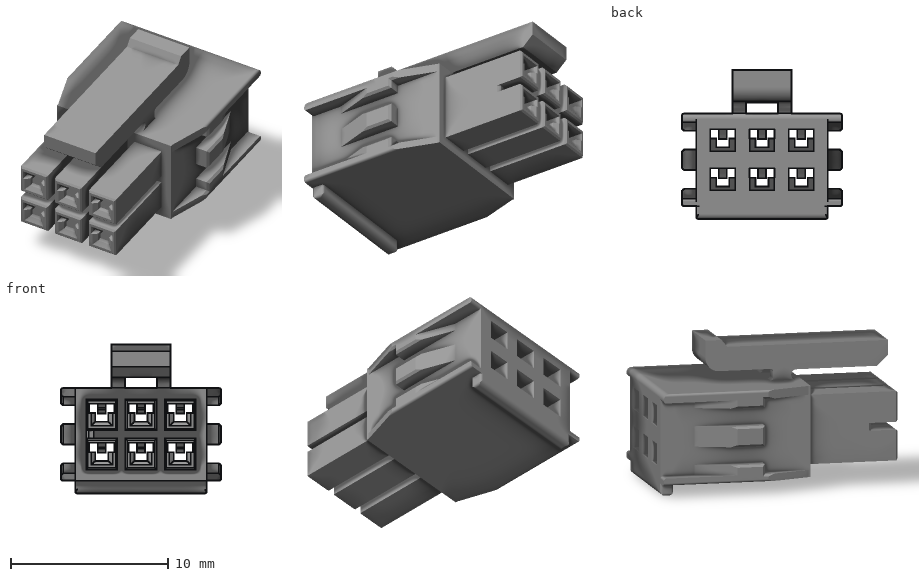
import cadquery as cq


length = 15.7
body_height = 5.9
body_front = 5.87
flange_width = 10.2
core_width = 8.38

top_flange = 0.57
bottom_flange = 0.47
taper_front = 6.01
taper_rear = 8.85
edge_radius = 0.15
rear_radius = 0.36
edge_chamfer = 0.14

pitch = 2.5
sleeve_size = 2.0
tip_chamfer = 0.11
room_width = 1.57
room_height = 1.4
slot_height = 0.58
mouth_width = 1.37
throat_width = 0.8
throat_rise = 0.27
mouth_depth = 0.24
throat_depth = 0.52

tab_width = 0.52
tab_drop = 0.63
tab_front = 7.06
tab_length = 1.57
tab_step = 0.05
tab_step_top = 0.27
tab_step_bottom = 0.38

web_thickness = 0.49
web_front = 1.71
web_chamfer = 0.17

barb_height = 1.32
barb_front = 9.06
barb_crest_end = 10.86
barb_rear = 13.49

rib_depth = 0.82
rib_length = 0.85
rib_radius = 0.31
rib_end_radius = 0.15
rib_overlap = 0.24

lever_width = 3.77
lever_front = 0.25
lever_rear = 12.2
lever_top = 8.23
lever_bottom_front = 6.58
lever_bottom_rear = 6.67
lever_nose_z = 7.27
lever_nose_y = 0.99
hook_top = 8.68
hook_flat_front = 11.15
hook_ramp_front = 10.77
hook_radius = 0.88
neck_front = 6.6
neck_rear = 7.77
neck_fillet = 0.19
neck_window = 2.01

middle_z = body_height / 2
core_side = core_width / 2
flange_side = flange_width / 2
row_heights = (middle_z - pitch / 2, middle_z + pitch / 2)
column_places = (-pitch, 0, pitch)


def block(x0, x1, y0, y1, z0, z1):
    """Box given by its limits along each axis."""
    return cq.Workplane("XY").box(x1 - x0, y1 - y0, z1 - z0, centered=False).translate((x0, y0, z0))


def both_sides(solid):
    """The solid together with its mirror image across the YZ plane."""
    return solid.union(solid.mirror("YZ"))


def make_body():
    """Block with rounded flanges, tapered towards the front, and recessed side walls."""
    limits = (-flange_side, flange_side, body_front, length, 0, body_height)
    rear_rounded = block(*limits).edges(">Y and >Z").fillet(rear_radius)
    body = block(*limits).edges("|Y").fillet(edge_radius).intersect(rear_rounded)

    clearance = flange_side + 0.15
    taper = (
        cq.Workplane("XY")
        .moveTo(core_side, body_front)
        .lineTo(core_side, taper_front)
        .lineTo(flange_side, taper_rear)
        .lineTo(clearance, taper_rear)
        .lineTo(clearance, body_front)
        .close()
        .extrude(body_height)
    )
    recess_top = body_height - top_flange
    recess = block(core_side, clearance, body_front, length, bottom_flange, recess_top)
    bevel = (
        cq.Workplane("XZ", origin=(0, body_front, 0))
        .moveTo(flange_side - edge_chamfer, bottom_flange)
        .lineTo(flange_side, bottom_flange - edge_chamfer)
        .lineTo(flange_side, recess_top + edge_chamfer)
        .lineTo(flange_side - edge_chamfer, recess_top)
        .close()
        .extrude(body_front - barb_front - edge_chamfer)
    )
    body = body.cut(both_sides(taper.union(recess).union(bevel)))
    for side in (-1, 1):
        for inner_z in (bottom_flange, recess_top):
            middle_x = side * (core_side + flange_side) / 2
            inner_edge = cq.selectors.NearestToPointSelector((middle_x, length, inner_z))
            body = body.edges(inner_edge).fillet(edge_radius)
    return body


def make_barb(z):
    """Side barb with a bevelled crest and a ramp falling to the rear, kept within the flanges."""
    bottom = z - barb_height / 2
    barb = block(core_side, flange_side, barb_front, barb_rear, bottom, bottom + barb_height)
    barb = barb.faces(">X").edges("|Y or <Y").chamfer(edge_chamfer)
    ramp = (
        cq.Workplane("XY", origin=(0, 0, bottom))
        .moveTo(core_side, barb_rear)
        .lineTo(flange_side, barb_crest_end)
        .lineTo(flange_side, barb_rear)
        .close()
        .extrude(barb_height)
    )
    kept = block(
        core_side, flange_side, barb_front, barb_rear,
        bottom_flange - edge_chamfer, body_height - top_flange + edge_chamfer,
    )
    return both_sides(barb.cut(ramp).intersect(kept))


def make_rib():
    """Cross rib with a rounded lower edge under the rear of the body."""
    blank = block(-core_side, core_side, length - rib_length, length, -rib_depth, rib_overlap)
    rounded_keel = blank.edges("|X and <Z").fillet(rib_radius)
    rounded_corners = blank.edges("|Z").fillet(rib_end_radius)
    rounded_ends = blank.edges("|Y and <Z").fillet(rib_end_radius)
    return rounded_keel.intersect(rounded_corners).intersect(rounded_ends)


def make_lever():
    """Latch lever with a hook at the rear, on two legs rising from the body."""
    front_gap_radius = (lever_bottom_front - body_height) / 2
    profile = (
        cq.Workplane("YZ", origin=(-lever_width / 2, 0, 0))
        .moveTo(lever_front, lever_top)
        .lineTo(hook_ramp_front, lever_top)
        .lineTo(hook_flat_front, hook_top)
        .lineTo(lever_rear, hook_top)
        .lineTo(lever_rear, lever_bottom_rear + hook_radius)
        .radiusArc((lever_rear - hook_radius, lever_bottom_rear), hook_radius)
        .lineTo(neck_rear + neck_fillet, lever_bottom_rear)
        .radiusArc((neck_rear, lever_bottom_rear - neck_fillet), -neck_fillet)
        .lineTo(neck_rear, body_height + neck_fillet)
        .radiusArc((neck_rear + neck_fillet, body_height), -neck_fillet)
        .lineTo(neck_front - front_gap_radius, body_height)
        .threePointArc(
            (neck_front, body_height + front_gap_radius),
            (neck_front - front_gap_radius, lever_bottom_front),
        )
        .lineTo(lever_nose_y, lever_bottom_front)
        .lineTo(lever_front, lever_nose_z)
        .close()
    )
    window = block(
        -neck_window / 2, neck_window / 2, body_front, neck_rear + 2 * neck_fillet,
        body_height, lever_bottom_front,
    )
    return profile.extrude(lever_width).cut(window)


def make_sleeve(x, z):
    """Square sleeve with a bevelled tip in front of the body."""
    half = sleeve_size / 2
    sleeve = block(x - half, x + half, 0, body_front, z - half, z + half)
    return sleeve.faces("<Y").chamfer(tip_chamfer)


def make_web():
    """Web closing the outer side of the gap between the two rows."""
    outer = -pitch - sleeve_size / 2
    web = block(outer, outer + web_thickness, web_front, body_front, row_heights[0], row_heights[1])
    return web.edges("<X and <Y").chamfer(web_chamfer)


def make_cavity(x, z):
    """Socket opening: funnel mouth, throat and a wider room with a retention tab."""
    ceiling = z + room_height / 2
    floor = z - room_height / 2
    slot_floor = ceiling - slot_height
    throat_floor = floor + throat_rise
    half_room = room_width / 2
    half_throat = throat_width / 2

    slot = block(x - half_room, x + half_room, 0, length, slot_floor, ceiling)
    throat = block(x - half_throat, x + half_throat, 0, throat_depth, throat_floor, ceiling)
    room = block(x - half_room, x + half_room, throat_depth, length, floor, ceiling)
    mouth = (
        cq.Workplane("XZ", origin=(x, 0, 0))
        .center(0, (floor + slot_floor) / 2)
        .rect(mouth_width, slot_floor - floor)
        .workplane(offset=-mouth_depth)
        .center(0, throat_rise / 2)
        .rect(throat_width, slot_floor - throat_floor)
        .loft(ruled=True)
    )
    tab_rear = tab_front + tab_length
    tab = (
        cq.Workplane("YZ", origin=(x - tab_width / 2, 0, 0))
        .moveTo(tab_front, ceiling)
        .lineTo(tab_front, ceiling - tab_step_top)
        .lineTo(tab_front + tab_step, ceiling - tab_step_bottom)
        .lineTo(tab_front + tab_step, ceiling - tab_drop)
        .lineTo(tab_rear, ceiling - tab_drop)
        .lineTo(tab_rear, ceiling)
        .close()
        .extrude(tab_width)
    )
    return slot.union(throat).union(room).union(mouth).cut(tab)


result = make_body().union(make_rib()).union(make_lever()).union(make_web())
for barb_z in (middle_z - pitch, middle_z, middle_z + pitch):
    result = result.union(make_barb(barb_z))
for row_z in row_heights:
    for column_x in column_places:
        result = result.union(make_sleeve(column_x, row_z))
for row_z in row_heights:
    for column_x in column_places:
        result = result.cut(make_cavity(column_x, row_z))